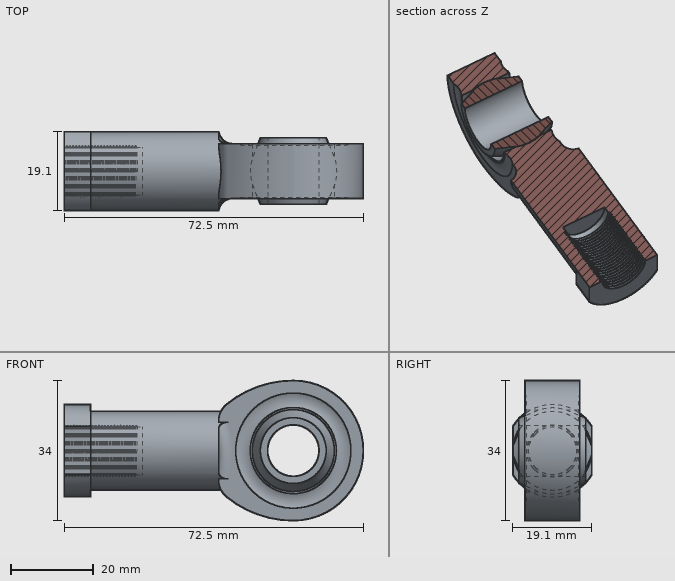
import cadquery as cq
import math


total_length = 72.45

shank_diameter = 19.1
collar_diameter = 22.45
collar_length = 6.4
shank_length = 37.4

bore_radius = 5.8
thread_depth = 0.5
crest_width = 0.15
bore_overlap = 0.1
thread_length = 17.4
thread_turns = 23
thread_pitch = thread_length / thread_turns
bore_depth = 18.85

eye_height = 34.0
eye_thickness = 13.3
eye_neck_radius = 25.5
eye_neck_run = 16.15
eye_radius = eye_height / 2
eye_center_x = total_length - eye_radius
eye_half = eye_thickness / 2

blend_radius = 3.3
blend_sweep_radius = 21.7

groove_outer_diameter = 27.9
groove_inner_diameter = 20.9
groove_depth = 0.35

seat_opening_radius = 9.9
seat_opening_half = 3.3
ball_face_radius = 8.0
ball_width = 16.15
ball_bore_diameter = 12.4
ball_half_width = ball_width / 2
ball_radius = math.hypot(seat_opening_radius, seat_opening_half)


def revolve_on_ball_axis(profile):
    """Revolve a (radius, Y) profile about the Y axis and move it to the eye centre."""
    return profile.revolve(360, (0, 0, 0), (0, 1, 0)).translate((eye_center_x, 0, 0))


def make_shank():
    """Round shank with a collar that has two wrench flats level with the shank."""
    shank = cq.Workplane("YZ").circle(shank_diameter / 2).extrude(shank_length + blend_radius)
    collar = cq.Workplane("YZ").circle(collar_diameter / 2).extrude(collar_length)
    flats = cq.Workplane("YZ").rect(shank_diameter, collar_diameter).extrude(collar_length)
    return shank.union(collar.intersect(flats))


def make_blend_envelope():
    """Flared body that trims the end of the shank down to the flat sides of the eye."""
    rim = blend_sweep_radius
    crest = rim - blend_radius
    top = eye_half + blend_radius
    arc_offset = blend_radius * math.sqrt(0.5)
    profile = (
        cq.Workplane("XY")
        .moveTo(0, -top)
        .lineTo(crest, -top)
        .threePointArc((rim - arc_offset, -top + arc_offset), (rim, -eye_half))
        .lineTo(rim, eye_half)
        .threePointArc((rim - arc_offset, top - arc_offset), (crest, top))
        .lineTo(0, top)
        .close()
    )
    flare = profile.revolve(360, (0, 0, 0), (0, 1, 0))
    flare = flare.translate((shank_length + blend_radius - blend_sweep_radius, 0, 0))
    straight = cq.Workplane("YZ").circle(collar_diameter).extrude(shank_length)
    return flare.union(straight)


def make_eye():
    """Eye plate: a half circle, two tangent neck arcs, rounded corners and a flat shoulder."""
    neck_angle = math.asin(eye_neck_run / eye_neck_radius)
    neck_center_z = eye_radius - eye_neck_radius

    def neck_point(angle, radius):
        x = eye_center_x - radius * math.sin(angle)
        return x, neck_center_z + radius * math.cos(angle)

    neck_mid = neck_point(neck_angle / 2, eye_neck_radius)
    neck_end = neck_point(neck_angle, eye_neck_radius)
    corner_radius = (neck_end[0] - shank_length) / (1 - math.sin(neck_angle))
    corner_center = neck_point(neck_angle, eye_neck_radius - corner_radius)
    corner_angle = (neck_angle + math.pi / 2) / 2
    corner_mid = (
        corner_center[0] - corner_radius * math.sin(corner_angle),
        corner_center[1] + corner_radius * math.cos(corner_angle),
    )
    corner_end = (shank_length, corner_center[1])

    def mirrored(point):
        return point[0], -point[1]

    outline = (
        cq.Workplane("XZ")
        .moveTo(*corner_end)
        .threePointArc(corner_mid, neck_end)
        .threePointArc(neck_mid, (eye_center_x, eye_radius))
        .threePointArc((total_length, 0), (eye_center_x, -eye_radius))
        .threePointArc(mirrored(neck_mid), mirrored(neck_end))
        .threePointArc(mirrored(corner_mid), mirrored(corner_end))
        .close()
    )
    return outline.extrude(eye_half, both=True)


def make_ring_groove(side):
    """Shallow groove of circular section, cut into the side of the eye at Y = side * eye_half."""
    face_y = side * eye_half
    inner_radius = groove_inner_diameter / 2
    outer_radius = groove_outer_diameter / 2
    middle_radius = (inner_radius + outer_radius) / 2
    profile = (
        cq.Workplane("XY")
        .moveTo(inner_radius, face_y)
        .threePointArc((middle_radius, face_y - side * groove_depth), (outer_radius, face_y))
        .close()
    )
    return revolve_on_ball_axis(profile)


def make_seat():
    """Spherical seat for the ball with a round opening to both sides of the eye."""
    opening = cq.Workplane("XZ").circle(seat_opening_radius).extrude(eye_half, both=True)
    sphere = (
        cq.Workplane("XY")
        .moveTo(0, -seat_opening_half)
        .lineTo(seat_opening_radius, -seat_opening_half)
        .threePointArc((ball_radius, 0), (seat_opening_radius, seat_opening_half))
        .lineTo(0, seat_opening_half)
        .close()
    )
    return revolve_on_ball_axis(sphere).union(opening.translate((eye_center_x, 0, 0)))


def make_thread_groove():
    """Helical V groove that starts just outside the open end of the bore."""
    start_x = -thread_pitch
    half_width = (thread_pitch - crest_width) / 2
    base_half_width = half_width * (thread_depth + bore_overlap) / thread_depth
    helix = cq.Wire.makeHelix(
        thread_pitch,
        thread_length + thread_pitch,
        bore_radius,
        center=cq.Vector(start_x, 0, 0),
        dir=cq.Vector(1, 0, 0),
    )
    start = helix.startPoint()
    radial = cq.Vector(0, start.y, start.z).normalized()
    plane = cq.Plane(origin=start, xDir=radial, normal=cq.Vector(1, 0, 0).cross(radial))
    profile = (
        cq.Workplane(plane)
        .moveTo(-bore_overlap, -base_half_width)
        .lineTo(thread_depth, 0)
        .lineTo(-bore_overlap, base_half_width)
        .close()
    )
    return profile.sweep(cq.Workplane(obj=helix), isFrenet=True)


def make_housing():
    """Shank and eye in one piece, with the threaded bore, ring grooves and ball seat cut out."""
    bore = cq.Workplane("YZ").circle(bore_radius).extrude(bore_depth)
    housing = make_shank().intersect(make_blend_envelope()).union(make_eye())
    housing = housing.cut(make_seat())
    for side in (-1, 1):
        housing = housing.cut(make_ring_groove(side))
    return housing.cut(bore).cut(make_thread_groove())


def make_ball():
    """Ball with a spherical middle, conical sides, flat faces and a through bore."""
    bore_wall = ball_bore_diameter / 2
    profile = (
        cq.Workplane("XY")
        .moveTo(bore_wall, -ball_half_width)
        .lineTo(ball_face_radius, -ball_half_width)
        .lineTo(seat_opening_radius, -seat_opening_half)
        .threePointArc((ball_radius, 0), (seat_opening_radius, seat_opening_half))
        .lineTo(ball_face_radius, ball_half_width)
        .lineTo(bore_wall, ball_half_width)
        .close()
    )
    return revolve_on_ball_axis(profile)


housing = make_housing()
ball = make_ball()
result = cq.Compound.makeCompound([housing.solids().val(), ball.val()])